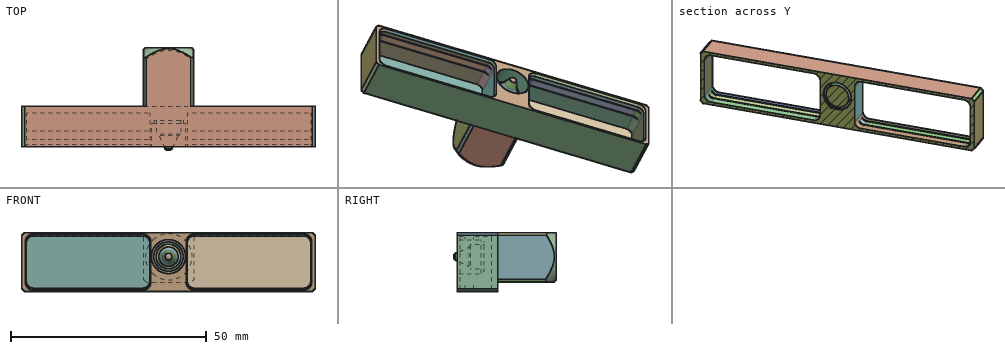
import cadquery as cq
bar_length = 74.95
bar_depth = 10.4
bar_height = 15.1
edge_chamfer = 0.75

handle_width = 12.9
handle_height = 12.7
handle_length = 14.9
axis_drop = 6.15
end_circle_radius = 5.9
end_cone_size = 3.75

pocket_floor = 1.7
end_wall = 1.2
long_wall = 0.9
web_width = 9.6
pocket_radius = 1.65

mouth_depth = 0.7
mouth_flare_x = 0.3
mouth_flare_z = 0.45
mouth_radius = 1.95

groove_start = 1.95
groove_width = 2.2
groove_depth = 0.2
groove_inset = 0.2
groove_radius = 1.35

bore_radius = 4.35
bore_depth = 6.0
recess_radius = 3.75
recess_depth = 6.75

pin_base_radius = 3.15
pin_base_depth = 3.4
pin_flare_radius = 2.5
pin_flare_depth = 3.0
pin_shoulder_radius = 1.65
pin_shoulder_depth = 1.3
pin_tip_radius = 0.9
pin_tip_reach = 0.45
pin_reach = 0.9

bar_middle = -bar_height / 2
pocket_length = (bar_length - web_width) / 2 - end_wall
pocket_height = bar_height - 2 * long_wall
pocket_depth = bar_depth - pocket_floor
pocket_offset = (web_width + pocket_length) / 2


def plane_at(y, x=0.0, z=0.0):
    """Workplane parallel to the front face that extrudes toward +Y."""
    return cq.Workplane(cq.Plane(origin=(x, y, z), xDir=(-1, 0, 0), normal=(0, 1, 0)))


def block(y, length, width, height, x=0.0, z=bar_middle):
    return plane_at(y, x, z).rect(width, height).extrude(length)


def cylinder(y, length, radius):
    return plane_at(y, z=-axis_drop).circle(radius).extrude(length)


def turned(half_profile):
    """Revolve a closed X-Y profile about Y and drop it onto the handle axis."""
    return half_profile.revolve(360, (0, 0, 0), (0, 1, 0)).translate((0, 0, -axis_drop))


def make_bar():
    return block(0, bar_depth, bar_length, bar_height).edges("|Y").chamfer(edge_chamfer)


def make_handle():
    """Chamfered square bar whose end is turned to a 45 degree cone."""
    stem = block(bar_depth, handle_length, handle_width, handle_height, z=-handle_height / 2)
    stem = stem.edges("|Y").chamfer(edge_chamfer)
    end = bar_depth + handle_length
    cone_radius = end_circle_radius + end_cone_size
    envelope = (
        cq.Workplane("XY")
        .moveTo(0, bar_depth)
        .lineTo(cone_radius, bar_depth)
        .lineTo(cone_radius, end - end_cone_size)
        .lineTo(end_circle_radius, end)
        .lineTo(0, end)
        .close()
    )
    return stem.intersect(turned(envelope))


def rounded_outline(width, height, radius):
    return cq.Sketch().rect(width, height).vertices().fillet(radius)


def make_pocket(x):
    cavity = block(0, pocket_depth, pocket_length, pocket_height, x).edges("|Y").fillet(pocket_radius)
    groove = block(
        groove_start,
        groove_width,
        pocket_length - 2 * groove_inset,
        pocket_height + 2 * groove_depth,
        x,
    )
    groove = groove.edges("|Y").fillet(groove_radius)
    front = rounded_outline(
        pocket_length + 2 * mouth_flare_x,
        pocket_height + 2 * mouth_flare_z,
        mouth_radius,
    )
    back = rounded_outline(pocket_length, pocket_height, pocket_radius)
    back = back.moved(cq.Location(cq.Vector(0, 0, mouth_depth)))
    mouth = plane_at(0, x, bar_middle).placeSketch(front, back).loft()
    return cavity.union(groove).union(mouth)


def make_bore():
    return cylinder(0, bore_depth, bore_radius).union(cylinder(0, recess_depth, recess_radius))


def make_pin():
    """Stepped cone on a round base, with a domed tip."""
    dome_rise = pin_reach - pin_tip_reach
    dome_radius = (pin_tip_radius**2 + dome_rise**2) / (2 * dome_rise)
    arc_x = pin_tip_radius / 2
    arc_y = dome_radius - pin_reach - (dome_radius**2 - arc_x**2) ** 0.5
    profile = (
        cq.Workplane("XY")
        .moveTo(0, recess_depth)
        .lineTo(pin_base_radius, recess_depth)
        .lineTo(pin_base_radius, pin_base_depth)
        .lineTo(pin_flare_radius, pin_flare_depth)
        .lineTo(pin_shoulder_radius, pin_shoulder_depth)
        .lineTo(pin_tip_radius, -pin_tip_reach)
        .threePointArc((arc_x, arc_y), (0, -pin_reach))
        .close()
    )
    return turned(profile)


result = make_bar().union(make_handle())
for side in (-1, 1):
    result = result.cut(make_pocket(side * pocket_offset))
result = result.cut(make_bore()).union(make_pin())